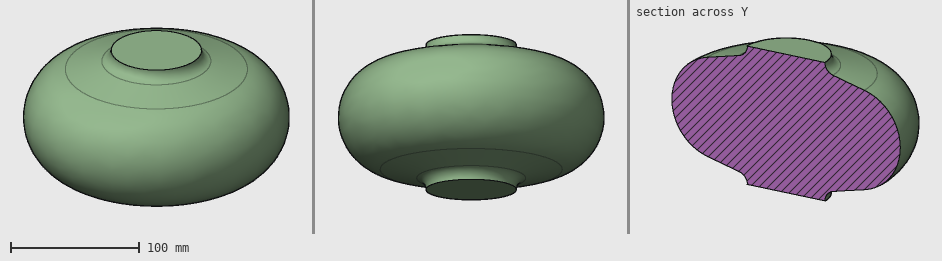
import cadquery as cq
import math

outer_radius = 103.2
height = 115.4
neck_radius = 35.0
rim_radius = 42.7
fillet_radius = 9.5

half_height = height / 2

rim_center = (outer_radius - rim_radius, 0.0)
fillet_center = (neck_radius + fillet_radius, half_height)

center_dr = fillet_center[0] - rim_center[0]
center_dz = fillet_center[1] - rim_center[1]
center_distance = math.hypot(center_dr, center_dz)
center_angle = math.atan2(center_dz, center_dr)
normal_angle = center_angle - math.acos((rim_radius + fillet_radius) / center_distance)


def point_on_circle(center, radius, angle):
    """Point of a circle at an angle measured from the radial direction."""
    return (center[0] + radius * math.cos(angle), center[1] + radius * math.sin(angle))


def mirrored(point):
    """Matching point of the lower half."""
    return (point[0], -point[1])


fillet_end_angle = normal_angle + math.pi
fillet_mid_angle = (math.pi + fillet_end_angle) / 2

neck_edge = (neck_radius, half_height)
fillet_mid = point_on_circle(fillet_center, fillet_radius, fillet_mid_angle)
fillet_end = point_on_circle(fillet_center, fillet_radius, fillet_end_angle)
rim_start = point_on_circle(rim_center, rim_radius, normal_angle)
equator = (outer_radius, 0.0)

profile = (
    cq.Workplane("XZ")
    .moveTo(0, half_height)
    .lineTo(*neck_edge)
    .threePointArc(fillet_mid, fillet_end)
    .lineTo(*rim_start)
    .threePointArc(equator, mirrored(rim_start))
    .lineTo(*mirrored(fillet_end))
    .threePointArc(mirrored(fillet_mid), mirrored(neck_edge))
    .lineTo(0, -half_height)
    .close()
)

result = profile.revolve(360, (0, 0, 0), (0, 1, 0))